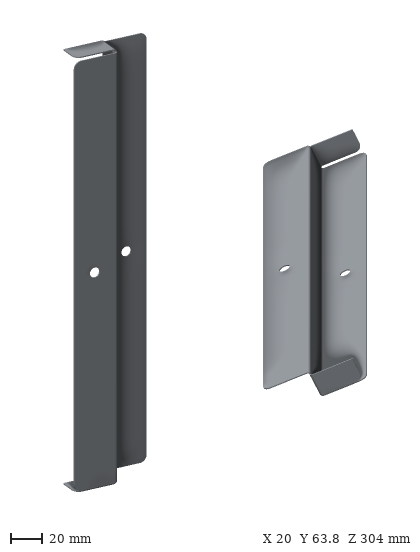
import cadquery as cq

thickness = 0.8
bend_outer_radius = 2.0
offset_width = 20.0
flange_height = 300.0
front_flange_reach = 32.0
rear_flange_reach = 32.6
tab_reach = 30.0
corner_radius = 5.0
hole_diameter = 7.0
hole_edge_distance = 15.0

bend_inner_radius = bend_outer_radius - thickness
half_width = offset_width / 2
half_height = flange_height / 2
half_thickness = thickness / 2
web_half_width = half_width - bend_outer_radius
bend_end_y = half_thickness - bend_outer_radius
tab_end_y = half_thickness - tab_reach


def make_bend():
    """Quarter-ring bend joining the web to the flange on the +X side."""
    ring = (
        cq.Workplane("XY", origin=(web_half_width, bend_end_y, -half_height))
        .circle(bend_outer_radius)
        .circle(bend_inner_radius)
        .extrude(flange_height)
    )
    quadrant = (
        cq.Workplane("XY")
        .box(bend_outer_radius, bend_outer_radius, flange_height, centered=(False, False, True))
        .translate((web_half_width, bend_end_y, 0))
    )
    return ring.intersect(quadrant)


def make_flange(reach):
    """Flange on the +X side running toward -Y, with its bend, hole and rounded free corners."""
    free_edge_y = half_thickness - reach
    plate = (
        cq.Workplane("XY")
        .box(thickness, bend_end_y - free_edge_y, flange_height, centered=(False, False, True))
        .translate((half_width - thickness, free_edge_y, 0))
        .edges("|X and <Y")
        .fillet(corner_radius)
    )
    hole = (
        cq.Workplane("YZ")
        .center(free_edge_y + hole_edge_distance, 0)
        .circle(hole_diameter / 2)
        .extrude(half_width)
    )
    return plate.cut(hole).union(make_bend())


def make_top_tab():
    """Tab folded from the top of the web toward -Y, rounded at its +X free corner."""
    outer_z = half_height + bend_outer_radius
    inner_z = outer_z - thickness
    return (
        cq.Workplane("YZ", origin=(-web_half_width, 0, 0))
        .moveTo(half_thickness, half_height)
        .radiusArc((bend_end_y, outer_z), -bend_outer_radius)
        .lineTo(tab_end_y, outer_z)
        .lineTo(tab_end_y, inner_z)
        .lineTo(bend_end_y, inner_z)
        .radiusArc((-half_thickness, half_height), bend_inner_radius)
        .close()
        .extrude(2 * web_half_width)
        .edges("|Z and >X and <Y")
        .fillet(corner_radius)
    )


web = cq.Workplane("XY").box(2 * web_half_width, thickness, flange_height)
front_flange = make_flange(front_flange_reach)
rear_flange = make_flange(rear_flange_reach).rotate((0, 0, 0), (0, 0, 1), 180)
top_tab = make_top_tab()
bottom_tab = top_tab.mirror("XY")

result = web.union(front_flange).union(rear_flange).union(top_tab).union(bottom_tab)